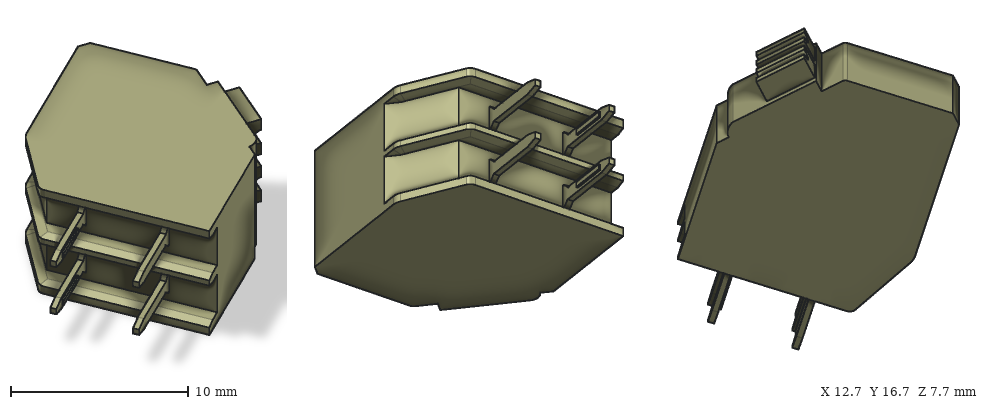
import cadquery as cq
import math

width = 12.7
total_depth = 16.72
depth = 12.9
height = 7.7
pole_count = 2
pole_pitch = 3.5
pole_heights = [height / 2 + (i - (pole_count - 1) / 2) * pole_pitch for i in range(pole_count)]

slant_x = 2.39
slant_y = 4.05
slant_pin_radius = 0.5
slant_left_radius = 1.0
back_chamfer = 0.54
back_end_x = 6.95
back_end_radius = 0.33
lip_root = (8.0, 11.87)
lip_corner = (8.48, 12.35)
lip_length_x = 3.75
lip_nose = (12.34, 8.15)
lip_foot = (12.17, 7.69)
lip_end = (lip_corner[0] + lip_length_x, lip_corner[1] - lip_length_x)

recess_height = 3.11
recess_depth = 1.22
flare_height = 0.17
flare_width = 0.54

button_start = 0.08
button_width = 3.05
button_height = 2.59
button_root = 0.33
groove_radius = 0.5

pin_length = 3.51
pin_thickness = 0.37
pin_left_x = 4.43
pin_right_x = 9.43
pin_width = 0.8
pin_tip_width = 0.4
pin_tip_length = 0.79
shoulder_width = 1.5
shoulder_edge_y = 1.09
rib_thickness = 0.12
rib_width = 0.33
rib_start = 0.3
rib_length = 2.32

button_length = (total_depth - pin_length - lip_corner[1]) * math.sqrt(2) + button_start


def make_housing():
    foot_run = width - lip_foot[0]
    outline = (
        cq.Workplane("XY")
        .moveTo(slant_x, 0)
        .lineTo(width, 0)
        .lineTo(width, lip_foot[1] - foot_run)
        .lineTo(*lip_foot)
        .threePointArc(lip_nose, lip_end)
        .lineTo(*lip_corner)
        .lineTo(*lip_root)
        .lineTo(back_end_x, depth)
        .lineTo(back_chamfer, depth)
        .lineTo(0, depth - back_chamfer)
        .lineTo(0, slant_y)
        .close()
    )
    body = outline.extrude(height)
    roundings = [
        (slant_x, 0, slant_pin_radius),
        (0, slant_y, slant_left_radius),
        (back_end_x, depth, back_end_radius),
    ]
    for x, y, radius in roundings:
        body = body.edges(cq.NearestToPointSelector((x, y, height / 2))).fillet(radius)
    return body


def make_flare():
    """Sloped thickening of a plate, reaching past the right side so that only the other edges slope."""
    margin = 4 * flare_width
    slant_angle = math.atan2(slant_y, slant_x)
    turn = math.pi / 2 - slant_angle
    tangent = slant_left_radius * math.tan(turn / 2)
    sagitta_x = slant_left_radius * (1 - math.cos(turn / 2))
    arc_start = (tangent * math.cos(slant_angle), slant_y - tangent * math.sin(slant_angle))
    arc_middle = (sagitta_x, slant_y + tangent - slant_left_radius * math.sin(turn / 2))
    return (
        cq.Workplane("XY")
        .moveTo(slant_x, 0)
        .lineTo(width + margin, 0)
        .lineTo(width + margin, depth)
        .lineTo(0, depth)
        .lineTo(0, slant_y + tangent)
        .threePointArc(arc_middle, arc_start)
        .close()
        .extrude(flare_height, taper=math.degrees(math.atan2(flare_width, flare_height)))
    )


def make_recess():
    """Space cut away between two plates, centred on z = 0."""
    bottom = -recess_height / 2
    slant_top = recess_depth + slant_y
    space = (
        cq.Workplane("XY", origin=(0, 0, bottom))
        .polyline([(0, 0), (width, 0), (width, recess_depth), (slant_x, recess_depth), (0, slant_top)])
        .close()
        .extrude(recess_height)
    )
    lower_flare = make_flare().translate((0, 0, bottom))
    return space.cut(lower_flare).cut(lower_flare.mirror("XY"))


def make_button():
    """Button with a round-bottomed groove across its end, centred on z = 0."""
    button = cq.Workplane("XY").box(
        button_width, button_length + button_root, button_height, centered=(False, False, True)
    ).translate((0, -button_root, 0))
    groove = cq.Workplane("YZ").center(button_length, 0).circle(groove_radius).extrude(button_width)
    start = button_start / math.sqrt(2)
    return (
        button.cut(groove)
        .rotate((0, 0, 0), (0, 0, 1), -45)
        .translate((lip_corner[0] + start, lip_corner[1] - start, 0))
    )


def make_pin(left_x, rib_x):
    """Pin with a tapered shoulder and tip and a rib on one face, centred on z = 0."""
    shoulder_end_y = shoulder_edge_y - (shoulder_width - pin_width) / 2
    upper_half = [
        (recess_depth, shoulder_width / 2),
        (shoulder_edge_y, shoulder_width / 2),
        (shoulder_end_y, pin_width / 2),
        (pin_tip_length - pin_length, pin_width / 2),
        (-pin_length, pin_tip_width / 2),
    ]
    lower_half = [(y, -z) for y, z in reversed(upper_half)]
    blade = (
        cq.Workplane("YZ", origin=(left_x, 0, 0))
        .polyline(upper_half + lower_half)
        .close()
        .extrude(pin_thickness)
    )
    rib = cq.Workplane("XY").box(
        rib_thickness, rib_length, rib_width, centered=(False, False, True)
    ).translate((rib_x, -rib_start - rib_length, 0))
    return blade.union(rib)


left_pin = make_pin(pin_left_x, pin_left_x + pin_thickness)
right_pin = make_pin(pin_right_x, pin_right_x - rib_thickness)
recess = make_recess()
button = make_button()

result = make_housing()
for pole_z in pole_heights:
    lift = (0, 0, pole_z)
    result = result.cut(recess.translate(lift))
    for added in (button, left_pin, right_pin):
        result = result.union(added.translate(lift))